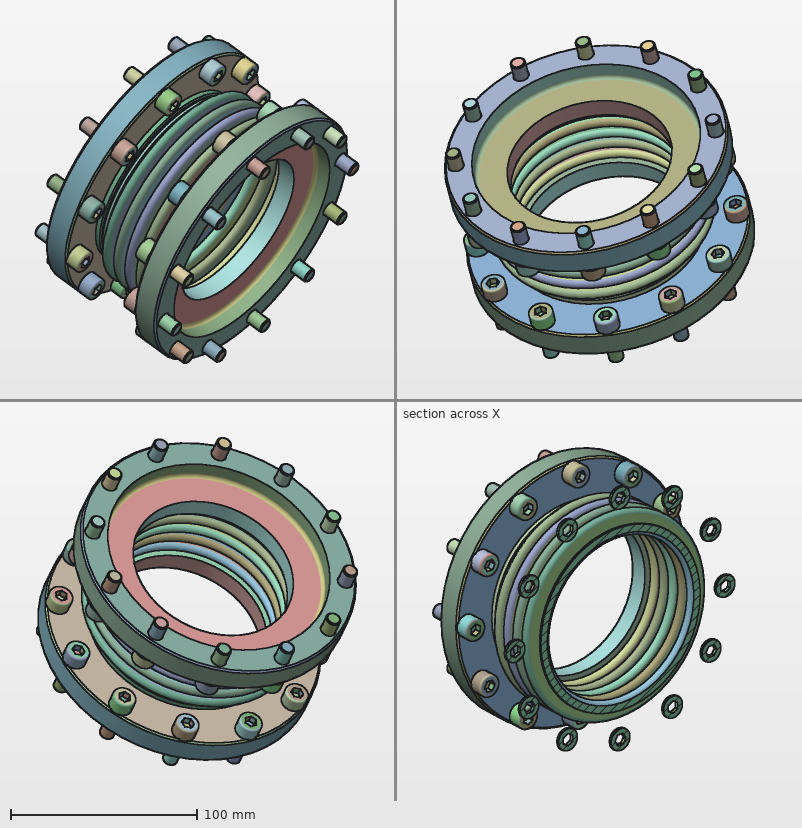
import cadquery as cq
import math

flange_radius = 77.5
flange_outer_x = 39.7
flange_inner_x = 24.6
flange_chamfer = 1.0
recess_radius = 125.0 / 2
recess_depth = 10.0
recess_fillet = 2.0
bore_radius = 90.0 / 2

hub_radius = 108.0 / 2
groove_bottom_radius = 106.3 / 2
groove_depth = hub_radius - groove_bottom_radius
groove_outer_x = 21.7
groove_floor_width = 0.5

convolution_count = 4
pitch = 8.0
wall = 1.0
crest_radius = 61.0
valley_radius = 48.4
mean_bend = pitch / 4
large_bend = mean_bend + wall / 2
small_bend = mean_bend - wall / 2
crest_center = crest_radius - large_bend
valley_center = valley_radius + small_bend
first_valley_x = -convolution_count * pitch / 2
hub_end_x = -first_valley_x + small_bend

screw_count = 12
screw_radius = 8.0 / 2
hole_radius = 8.5 / 2
head_radius = 13.0 / 2
head_height = 8.0
head_fillet = 1.0
screw_circle_radius = flange_radius - head_radius
screw_end_x = 99.5 / 2
screw_end_chamfer = 0.6
socket_across_flats = 6.0
socket_depth = 4.0


def revolve_about_x(profile):
    """Revolve a closed XY profile (X along the axis, Y as radius) about X."""
    return profile.close().revolve(360, (0, 0, 0), (1, 0, 0))


def flange_with_hub():
    """Flange ring and grooved hub on the +X side, without screw holes."""
    recess_floor_x = flange_outer_x - recess_depth
    corner = recess_fillet * (1 - math.sqrt(0.5))
    groove_inner_x = groove_outer_x - 2 * groove_depth - groove_floor_width
    chamfered_radius = flange_radius - flange_chamfer
    return revolve_about_x(
        cq.Workplane("XY")
        .moveTo(hub_end_x, bore_radius)
        .lineTo(hub_end_x, hub_radius)
        .lineTo(groove_inner_x, hub_radius)
        .lineTo(groove_inner_x + groove_depth, groove_bottom_radius)
        .lineTo(groove_outer_x - groove_depth, groove_bottom_radius)
        .lineTo(groove_outer_x, hub_radius)
        .lineTo(flange_inner_x, hub_radius)
        .lineTo(flange_inner_x, chamfered_radius)
        .lineTo(flange_inner_x + flange_chamfer, flange_radius)
        .lineTo(flange_outer_x - flange_chamfer, flange_radius)
        .lineTo(flange_outer_x, chamfered_radius)
        .lineTo(flange_outer_x, recess_radius)
        .lineTo(recess_floor_x + recess_fillet, recess_radius)
        .threePointArc(
            (recess_floor_x + corner, recess_radius - corner),
            (recess_floor_x, recess_radius - recess_fillet),
        )
        .lineTo(recess_floor_x, bore_radius)
    )


def around_screw_circle(feature):
    """Copies of a feature made on the axis, placed at every screw position."""
    on_circle = feature.translate((0, 0, screw_circle_radius))
    step = 360 / screw_count
    return [on_circle.rotate((0, 0, 0), (1, 0, 0), i * step) for i in range(screw_count)]


def screw():
    """Socket head screw along X with its head against the inner flange face."""
    shank_length = screw_end_x - flange_inner_x
    shank = (
        cq.Workplane("YZ", origin=(flange_inner_x, 0, 0))
        .circle(screw_radius)
        .extrude(shank_length)
        .faces(">X")
        .chamfer(screw_end_chamfer)
    )
    head = (
        cq.Workplane("YZ", origin=(flange_inner_x, 0, 0))
        .circle(head_radius)
        .extrude(-head_height)
        .faces("<X")
        .edges()
        .fillet(head_fillet)
    )
    socket = (
        cq.Workplane("YZ", origin=(flange_inner_x - head_height, 0, 0))
        .polygon(6, socket_across_flats / math.cos(math.pi / 6))
        .extrude(socket_depth)
    )
    return head.union(shank).cut(socket)


def end_fitting():
    """Flange, hub and screws on the +X side."""
    fitting = flange_with_hub()
    hole = (
        cq.Workplane("YZ", origin=(flange_inner_x, 0, 0))
        .circle(hole_radius)
        .extrude(flange_outer_x - flange_inner_x)
    )
    for placed_hole in around_screw_circle(hole):
        fitting = fitting.cut(placed_hole)
    for placed_screw in around_screw_circle(screw()):
        fitting = fitting.union(placed_screw)
    return fitting


def winding_solid(crest_bend, valley_bend):
    """Solid enclosed by one winding surface of the bellows wall."""
    start_x = first_valley_x - valley_bend
    profile = (
        cq.Workplane("XY")
        .moveTo(start_x, 0)
        .lineTo(start_x, valley_center)
        .threePointArc(
            (first_valley_x, valley_center - valley_bend),
            (first_valley_x + valley_bend, valley_center),
        )
    )
    for i in range(convolution_count):
        crest_x = first_valley_x + (i + 0.5) * pitch
        next_valley_x = crest_x + pitch / 2
        profile = (
            profile.lineTo(crest_x - crest_bend, crest_center)
            .threePointArc(
                (crest_x, crest_center + crest_bend),
                (crest_x + crest_bend, crest_center),
            )
            .lineTo(next_valley_x - valley_bend, valley_center)
            .threePointArc(
                (next_valley_x, valley_center - valley_bend),
                (next_valley_x + valley_bend, valley_center),
            )
        )
    return revolve_about_x(profile.lineTo(-start_x, 0))


bellows_outside = winding_solid(large_bend, small_bend)
bellows_inside = winding_solid(small_bend, large_bend)
right_end = end_fitting()
left_end = right_end.mirror("YZ")

result = bellows_outside.union(right_end).union(left_end).cut(bellows_inside)